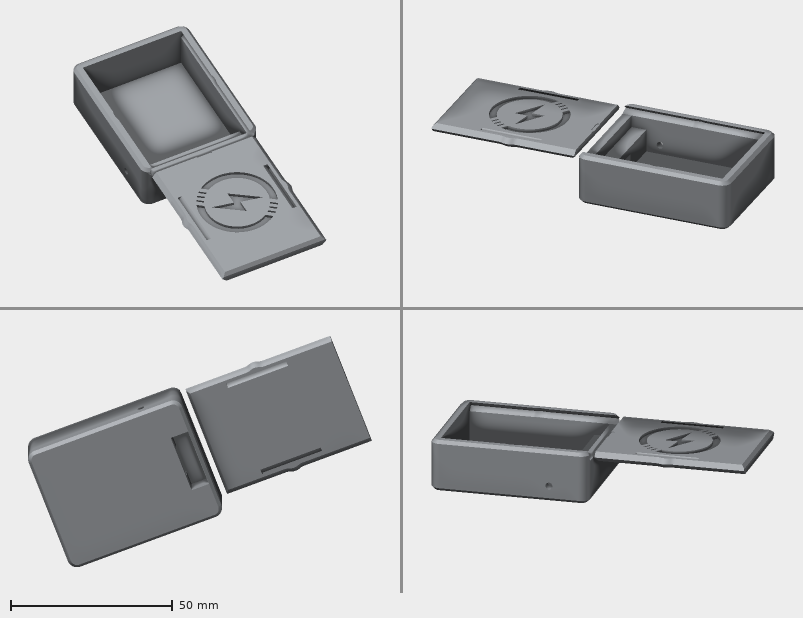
import cadquery as cq
import math

HOUSING_LENGTH = 51.0
HOUSING_WIDTH = 40.0
HOUSING_HEIGHT = 16.6
CORNER_RADIUS = 3.0
RIM_CHAMFER = 1.0
FLOOR_THICKNESS = 2.0
CAVITY_START = 2.9
CAVITY_WIDTH = 34.2
END_WALL = 3.0

TOTAL_LENGTH = 100.6
LID_LENGTH = 48.1
LID_TOP_WIDTH = 33.3
LID_THICKNESS = 3.0
LID_END_CHAMFER = RIM_CHAMFER
VEE_DEPTH = LID_THICKNESS / 2
VEE_Z = HOUSING_HEIGHT - VEE_DEPTH
LID_BOTTOM_Z = HOUSING_HEIGHT - LID_THICKNESS
LID_START = TOTAL_LENGTH - LID_LENGTH
LID_SLIDE = TOTAL_LENGTH - HOUSING_LENGTH

SNAP_X = HOUSING_LENGTH / 2
SNAP_CREST_HALF = 1.5
BUMP_HALF_LENGTH = 3.0
BUMP_HEIGHT = 0.6
NOTCH_HALF_LENGTH = 2.1
NOTCH_HEIGHT = 0.3

FLEX_SLOT_LENGTH = 20.0
FLEX_SLOT_WIDTH = 1.5
FLEX_STRIP = 1.0

LEDGE_START = 43.1
LEDGE_TOP_Z = 9.6
WELL_WALL = 1.1
WELL_WIDTH = 18.1
PORT_WIDTH = 9.1
PORT_HEIGHT = 5.0
PORT_TOP_Z = FLOOR_THICKNESS + PORT_HEIGHT

SIDE_HOLE_DIAMETER = 2.2
SIDE_HOLE_X = 38.4
SIDE_HOLE_Z = 5.0

POCKET_DEPTH = 1.0
RING_OUTER_RADIUS = 12.7
RING_INNER_RADIUS = 10.3
RING_GAP = 7.0
RING_GAP_ANGLE = 52.0
DASH_COUNT = 3
DASH_PITCH = 1.8
DASH_WIDTH = 0.6
BOLT_HALF = [(-4.6, -1.0), (1.7, 8.2), (0.3, 1.0)]
PRY_NOTCH_LENGTH = 1.0
PRY_NOTCH_WIDTH = 5.0
PRY_NOTCH_DEPTH = 0.3
PRY_NOTCH_RADIUS = 0.7


def box(x_start, x_end, width, z_bottom, z_top):
    """Box centred on Y = 0."""
    return cq.Workplane("XY").box(
        x_end - x_start, width, z_top - z_bottom, centered=(False, True, False)
    ).translate((x_start, 0, z_bottom))


def vee_bar(x_start, x_end, top_width):
    """Bar as thick as the lid, with an outward 45 degree vee along each long side."""
    narrow = top_width / 2
    wide = narrow + VEE_DEPTH
    profile = [
        (-narrow, LID_BOTTOM_Z),
        (narrow, LID_BOTTOM_Z),
        (wide, VEE_Z),
        (narrow, HOUSING_HEIGHT),
        (-narrow, HOUSING_HEIGHT),
        (-wide, VEE_Z),
    ]
    return cq.Workplane("YZ").polyline(profile).close().extrude(x_end - x_start).translate((x_start, 0, 0))


def vee_prism(outline):
    """Turn an outline on the +Y side at the height of the vee's tip into a solid that
    leans inward at 45 degrees both upward and downward."""
    wire = outline.val()
    upper = cq.Solid.extrudeLinear(wire, [], cq.Vector(0, -VEE_DEPTH, VEE_DEPTH))
    lower = cq.Solid.extrudeLinear(wire, [], cq.Vector(0, -VEE_DEPTH, -VEE_DEPTH))
    return cq.Workplane(obj=upper.fuse(lower).clean())


def snap_outline(x_center, y_base, half_length, height):
    """Bump outline: a convex crest blended into the straight side by a concave arc at each end."""
    root = 0.3
    turn = 2 * math.atan(height / half_length)
    crest_radius = SNAP_CREST_HALF / math.sin(turn)
    blend_radius = half_length / math.sin(turn) - crest_radius
    blend_x = half_length - blend_radius * math.sin(turn / 2)
    blend_y = blend_radius * (1 - math.cos(turn / 2))
    crest_end_y = height - crest_radius * (1 - math.cos(turn))
    return (
        cq.Workplane("XY", origin=(x_center, y_base, VEE_Z))
        .moveTo(-half_length, -root)
        .lineTo(-half_length, 0)
        .threePointArc((-blend_x, blend_y), (-SNAP_CREST_HALF, crest_end_y))
        .threePointArc((0, height), (SNAP_CREST_HALF, crest_end_y))
        .threePointArc((blend_x, blend_y), (half_length, 0))
        .lineTo(half_length, -root)
        .close()
    )


def both_sides(body):
    """The body together with its mirror image across Y = 0."""
    return [body, body.mirror("XZ")]


def make_housing():
    housing = box(0, HOUSING_LENGTH, HOUSING_WIDTH, 0, HOUSING_HEIGHT)
    housing = housing.edges("|Z").fillet(CORNER_RADIUS)
    housing = housing.faces("<Z or >Z").edges().chamfer(RIM_CHAMFER)

    cavity_end = HOUSING_LENGTH - END_WALL
    housing = housing.cut(box(CAVITY_START, LEDGE_START, CAVITY_WIDTH, FLOOR_THICKNESS, HOUSING_HEIGHT))
    housing = housing.cut(box(LEDGE_START, cavity_end, CAVITY_WIDTH, LEDGE_TOP_Z, HOUSING_HEIGHT))

    housing = housing.cut(vee_bar(CAVITY_START, HOUSING_LENGTH, CAVITY_WIDTH))
    groove_y = CAVITY_WIDTH / 2 + VEE_DEPTH
    notch = vee_prism(snap_outline(SNAP_X, groove_y, NOTCH_HALF_LENGTH, NOTCH_HEIGHT))
    for side_notch in both_sides(notch):
        housing = housing.cut(side_notch)

    well_start = LEDGE_START + WELL_WALL
    well_end = HOUSING_LENGTH - WELL_WALL
    housing = housing.cut(box(well_start, well_end, WELL_WIDTH, 0, PORT_TOP_Z))
    housing = housing.cut(box(LEDGE_START, well_start, PORT_WIDTH, FLOOR_THICKNESS, PORT_TOP_Z))

    wall = (HOUSING_WIDTH - CAVITY_WIDTH) / 2
    side_hole = (
        cq.Workplane("XZ", origin=(SIDE_HOLE_X, -HOUSING_WIDTH / 2 + wall, SIDE_HOLE_Z))
        .circle(SIDE_HOLE_DIAMETER / 2)
        .extrude(wall)
    )
    return housing.cut(side_hole)


def lid_ring(x_center):
    """Ring pocket with two opposite gaps, each holding a row of short dashes."""

    def strip(width, offset):
        length = 3 * RING_OUTER_RADIUS
        bar = cq.Workplane("XY").rect(length, width).extrude(POCKET_DEPTH)
        return bar.translate((0, offset, 0)).rotate((0, 0, 0), (0, 0, 1), RING_GAP_ANGLE)

    ring = cq.Workplane("XY").circle(RING_OUTER_RADIUS).circle(RING_INNER_RADIUS).extrude(POCKET_DEPTH)
    pocket = ring.cut(strip(RING_GAP, 0))
    for index in range(DASH_COUNT):
        offset = (index - (DASH_COUNT - 1) / 2) * DASH_PITCH
        pocket = pocket.union(ring.intersect(strip(DASH_WIDTH, offset)))
    return pocket.translate((x_center, 0, HOUSING_HEIGHT - POCKET_DEPTH))


def lid_bolt(x_center):
    """Zigzag bolt pocket in the middle of the ring."""
    points = BOLT_HALF + [(-x, -y) for x, y in BOLT_HALF]
    bolt = cq.Workplane("XY").polyline(points).close().extrude(POCKET_DEPTH)
    return bolt.translate((x_center, 0, HOUSING_HEIGHT - POCKET_DEPTH))


def pry_notch():
    """Shallow notch in the top of the lid's -X end, rounded at its inner corners."""
    notch_end = LID_START + PRY_NOTCH_LENGTH
    notch_floor = HOUSING_HEIGHT - PRY_NOTCH_DEPTH
    notch = box(LID_START, notch_end, PRY_NOTCH_WIDTH, notch_floor, HOUSING_HEIGHT)
    return notch.edges("|Z and >X").fillet(PRY_NOTCH_RADIUS)


def make_lid():
    lid = vee_bar(LID_START, TOTAL_LENGTH, LID_TOP_WIDTH)
    lid = lid.faces("<X").edges("<Z").chamfer(LID_END_CHAMFER)
    lid = lid.faces(">X").edges(">Z").chamfer(LID_END_CHAMFER)

    snap_x = SNAP_X + LID_SLIDE
    lid_edge_y = LID_TOP_WIDTH / 2 + VEE_DEPTH
    bump = vee_prism(snap_outline(snap_x, lid_edge_y, BUMP_HALF_LENGTH, BUMP_HEIGHT))
    slot_y = lid_edge_y - FLEX_STRIP - FLEX_SLOT_WIDTH / 2
    slot = vee_prism(
        cq.Workplane("XY", origin=(snap_x, slot_y, VEE_Z)).rect(FLEX_SLOT_LENGTH, FLEX_SLOT_WIDTH)
    )
    for side_bump in both_sides(bump):
        lid = lid.union(side_bump)
    for side_slot in both_sides(slot):
        lid = lid.cut(side_slot)

    lid = lid.cut(lid_ring(snap_x)).cut(lid_bolt(snap_x))
    return lid.cut(pry_notch())


housing = make_housing()
lid = make_lid()
result = cq.Compound.makeCompound([housing.val(), lid.val()])